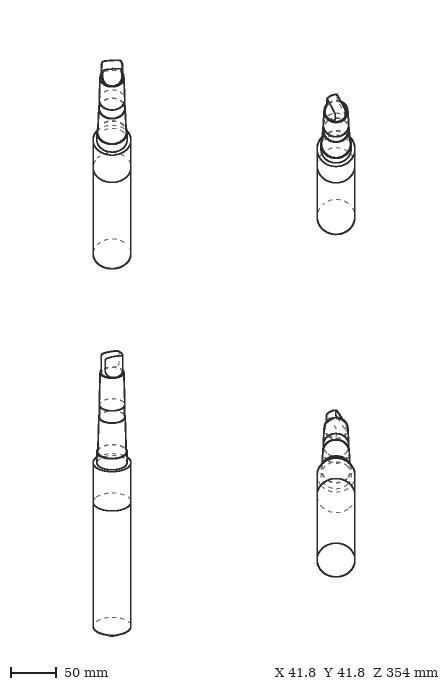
import cadquery as cq
import math

body_diameter = 41.8
point_angle = 118.0
cutter_top = 168.5

shoulder_height = 217.7
collar_diameter = 33.3
collar_top = 231.5
taper_large_diameter = 31.5
taper_ratio = 19.25
neck_diameter = 28.0
neck_bottom = 275.0
neck_top = 290.3
taper_top = 330.5

total_length = 354.0
tang_diameter = 24.0
tang_thickness = 12.0
tang_angle = 46.0
tang_end_radius = 3.0
tang_dome_height = 1.0
runout_radius = 7.8
runout_top = 338.5

body_radius = body_diameter / 2
tang_radius = tang_diameter / 2
point_height = body_radius / math.tan(math.radians(point_angle / 2))


def taper_radius(height):
    """Radius of the taper at a height above the tip."""
    return (taper_large_diameter - (height - collar_top) / taper_ratio) / 2


def make_cutter():
    """Round bar with a conical point."""
    outline = [(0, 0), (body_radius, point_height), (body_radius, cutter_top), (0, cutter_top)]
    return cq.Workplane("XZ").polyline(outline).close().revolve(360, (0, 0), (0, 1))


def make_tang_cutter():
    """Material outside one flat, with a round runout at its lower end."""
    flat_offset = tang_thickness / 2
    outer_offset = flat_offset + runout_radius
    runout_bottom = runout_top - runout_radius
    arc_reach = runout_radius * math.sqrt(0.5)
    arc_middle = (outer_offset - arc_reach, runout_top - arc_reach)
    return (
        cq.Workplane("XZ")
        .moveTo(flat_offset, total_length)
        .lineTo(flat_offset, runout_top)
        .threePointArc(arc_middle, (outer_offset, runout_bottom))
        .lineTo(outer_offset, total_length)
        .close()
        .extrude(tang_radius, both=True)
    )


def make_shank():
    """Stepped tapered shank with a domed, flat-sided driving tang."""
    dome_radius = (tang_radius**2 + tang_dome_height**2) / (2 * tang_dome_height)
    dome_center = total_length - dome_radius
    middle_radius = tang_radius / 2
    dome_middle = (middle_radius, dome_center + math.sqrt(dome_radius**2 - middle_radius**2))
    shank = (
        cq.Workplane("XZ")
        .moveTo(0, cutter_top)
        .lineTo(body_radius, cutter_top)
        .lineTo(body_radius, shoulder_height)
        .lineTo(collar_diameter / 2, shoulder_height)
        .lineTo(collar_diameter / 2, collar_top)
        .lineTo(taper_large_diameter / 2, collar_top)
        .lineTo(taper_radius(neck_bottom), neck_bottom)
        .lineTo(neck_diameter / 2, neck_bottom)
        .lineTo(neck_diameter / 2, neck_top)
        .lineTo(taper_radius(neck_top), neck_top)
        .lineTo(taper_radius(taper_top), taper_top)
        .lineTo(tang_radius, taper_top)
        .lineTo(tang_radius, total_length - tang_dome_height)
        .threePointArc(dome_middle, (0, total_length))
        .close()
        .revolve(360, (0, 0), (0, 1))
        .faces(">Z")
        .edges("<Z")
        .fillet(tang_end_radius)
    )
    flat_cut = make_tang_cutter()
    first_turn = tang_angle - 90
    for turn in (first_turn, first_turn + 180):
        shank = shank.cut(flat_cut.rotate((0, 0, 0), (0, 0, 1), turn))
    return shank


cutter = make_cutter()
shank = make_shank()
result = cq.Compound.makeCompound([cutter.val(), shank.val()])